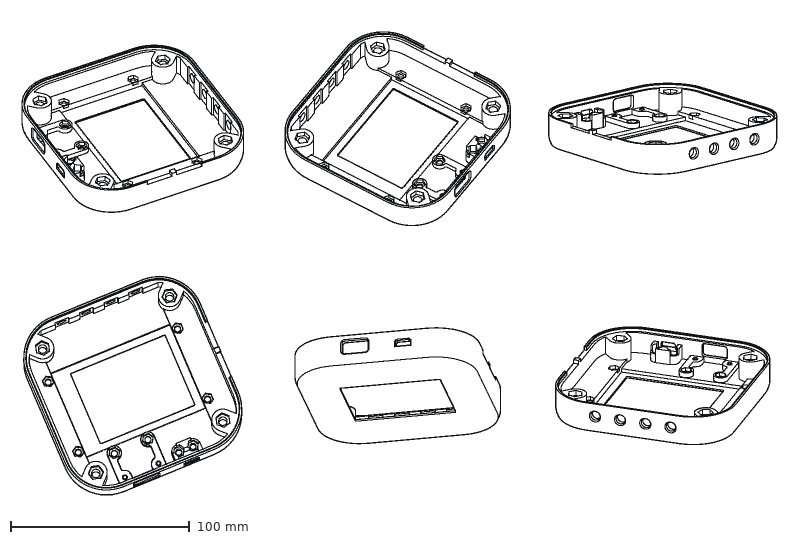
import cadquery as cq
import math

SIZE = 105.0
HEIGHT = 17.5
CORNER_R = 25.0
WALL = 3.0
BACK_WALL = 4.5
LIP_WALL = 1.5
LIP_HEIGHT = 2.1
LIP_CHAMFER = 0.37
LEDGE_Z = HEIGHT - LIP_HEIGHT
HALF = SIZE / 2
ACROSS = (-HALF, HALF)

TAPER_INSET = 1.3
TAPER_HEIGHT = 2.8
TAPER_BLEND_R = 4.7
RIDGE_MARGIN = 0.1

SIDE_FLOOR_Z = 5.0
MID_FLOOR_Z = 3.0
SCREEN_FLOOR_Z = 1.0
BAND_X = (-39.1, 33.3)
SCREEN_Y = (-26.0, 25.8)
WINDOW_X = 57.3
WINDOW_Y = 43.5
WINDOW_R = 0.6

BOSS_POS = 38.5
CORNERS = ((1, 1), (-1, 1), (-1, -1), (1, -1))
BOSS_R = 6.3
BOSS_NUT = 8.4
BOSS_NUT_DEPTH = 3.0
BOSS_BORE = 4.8
STRIP_Y = (-BOSS_POS, BOSS_POS)

NUT = 6.3
NUT_BORE = 3.5
NUT_DEPTH = 2.1
SCREEN_NUT_X = (-42.2, 36.3)
SCREEN_NUT_Y = 21.7
SCREEN_NUT_ANGLE = 30
BORE_FLOOR_Z = 1.0

JACK_X = -13.8
JACK_POST_PITCH = 20.4
JACK_POST_R = 4.0
JACK_POST_Y = -30.3
JACK_PIN_Y = -45.7
JACK_TOP_Z = 6.0
JACK_NOTCH_R = 1.0
PIN_BASE_D = 2.8
PIN_TIP_D = 2.0
PIN_HEIGHT = 0.5
JACK_OPENING_X = -13.6
JACK_OPENING_WIDTH = 14.9
JACK_OPENING_HEIGHT = 7.9
JACK_OPENING_R = 1.7
JACK_OPENING_Z = 10.4
JACK_OPENING_CHAMFER = 0.6

USB_X = 13.8
USB_NUT_PITCH = 8.6
USB_NUT_Y = -44.1
USB_POST_R = 4.0
USB_BLOCK_Z = 11.5
USB_BLOCK_BACK_Y = -39.9
USB_CHANNEL_WIDTH = 11.7
USB_CHANNEL_Z = 8.3
USB_RAMP_RUN = 1.6
USB_NUT_FLOOR_Z = 6.0
USB_OPENING_WIDTH = 8.6
USB_OPENING_HEIGHT = 3.5
USB_OPENING_BEVEL = 0.9
USB_OPENING_CHAMFER = 0.5

HOLE_COUNT = 4
HOLE_PITCH = 14.9
HOLE_ROW_X = -0.2
HOLE_Z = 9.9
HOLE_D = 5.4
HOLE_FLARE = 0.6
HOLE_FLARE_DEPTH = 1.0
HOLE_RECESS_WIDTH = 8.3
HOLE_RECESS_DEPTH = 1.0

GAP_X = (HALF - WALL, HALF)
GAP_Y = (-17.6, 16.7)
TAB_Y = (-2.2, 0.8)


def box(x, y, z):
    """Box spanning the given (low, high) ranges."""
    return cq.Workplane("XY").box(
        x[1] - x[0], y[1] - y[0], z[1] - z[0], centered=False
    ).translate((x[0], y[0], z[0]))


def cylinder(x, y, diameter, z_low, z_high):
    return cq.Workplane("XY", origin=(x, y, z_low)).circle(diameter / 2).extrude(z_high - z_low)


def hexagon(x, y, across_corners, z_low, z_high, angle=0):
    """Hexagonal prism with its first corner at the given angle from +X."""
    prism = cq.Workplane("XY").polygon(6, across_corners).extrude(z_high - z_low)
    return prism.rotate((0, 0, 0), (0, 0, 1), angle).translate((x, y, z_low))


def rounded_block(inset, z_low, z_high):
    """Rounded square following the outside, moved inwards by the inset."""
    side = SIZE - 2 * inset
    block = cq.Workplane("XY", origin=(0, 0, z_low)).rect(side, side).extrude(z_high - z_low)
    return block.edges("|Z").fillet(CORNER_R - inset)


def make_outside():
    """Solid block with the tapered foot."""
    outside = rounded_block(0, 0, HEIGHT)
    outside = outside.faces("<Z").chamfer(TAPER_HEIGHT, TAPER_INSET)
    ridge = cq.selectors.BoxSelector(
        (-SIZE, -SIZE, TAPER_HEIGHT - RIDGE_MARGIN), (SIZE, SIZE, TAPER_HEIGHT + RIDGE_MARGIN)
    )
    return outside.edges(ridge).fillet(TAPER_BLEND_R)


def make_cavity():
    """Room above the stepped floor, up to the ledge."""
    room = rounded_block(WALL, MID_FLOOR_Z, LEDGE_Z)
    room = room.cut(box(ACROSS, (HALF - BACK_WALL, HALF), (MID_FLOOR_Z, LEDGE_Z)))
    for strip_x in ((-HALF, BAND_X[0]), (BAND_X[1], HALF)):
        room = room.cut(box(strip_x, STRIP_Y, (MID_FLOOR_Z, SIDE_FLOOR_Z)))
    return room.union(box(BAND_X, SCREEN_Y, (SCREEN_FLOOR_Z, MID_FLOOR_Z)))


def make_lip_space():
    """Room inside the lip, widened at its mouth by the lip's inner chamfer."""
    straight = rounded_block(LIP_WALL, LEDGE_Z, HEIGHT)
    mouth = rounded_block(LIP_WALL - LIP_CHAMFER, HEIGHT - LIP_CHAMFER, HEIGHT + LIP_CHAMFER)
    mouth = mouth.faces("<Z").chamfer(LIP_CHAMFER)
    return straight.union(mouth)


def corner_bosses():
    """Round bosses that run out diagonally into the corners."""
    arm = cq.Workplane("XY").circle(BOSS_R).extrude(LEDGE_Z)
    arm = arm.union(box((0, CORNER_R), (-BOSS_R, BOSS_R), (0, LEDGE_Z)))
    corner = rounded_block(LIP_WALL, TAPER_HEIGHT, LEDGE_Z)
    bosses = None
    for x_side, y_side in CORNERS:
        angle = math.degrees(math.atan2(y_side, x_side))
        boss = arm.rotate((0, 0, 0), (0, 0, 1), angle)
        boss = boss.translate((x_side * BOSS_POS, y_side * BOSS_POS, 0))
        bosses = boss if bosses is None else bosses.union(boss)
    return bosses.intersect(corner)


def corner_boss_holes():
    """Nut pockets, each with one corner pointing outwards, over blind bores."""
    holes = cq.Workplane("XY")
    for x_side, y_side in CORNERS:
        x = x_side * BOSS_POS
        y = y_side * BOSS_POS
        angle = math.degrees(math.atan2(y_side, x_side))
        holes.add(hexagon(x, y, BOSS_NUT, LEDGE_Z - BOSS_NUT_DEPTH, LEDGE_Z, angle))
        holes.add(cylinder(x, y, BOSS_BORE, SIDE_FLOOR_Z, LEDGE_Z))
    return holes.combine()


def screen_nut_holes():
    """Nut pockets with corners along Y, over blind bores in the raised strips."""
    holes = cq.Workplane("XY")
    for x in SCREEN_NUT_X:
        for y in (-SCREEN_NUT_Y, SCREEN_NUT_Y):
            holes.add(hexagon(x, y, NUT, SIDE_FLOOR_Z - NUT_DEPTH, SIDE_FLOOR_Z, SCREEN_NUT_ANGLE))
            holes.add(cylinder(x, y, NUT_BORE, BORE_FLOOR_Z, SIDE_FLOOR_Z))
    return holes.combine()


def window():
    return cq.Workplane("XY").rect(WINDOW_X, WINDOW_Y).extrude(MID_FLOOR_Z).edges("|Z").fillet(WINDOW_R)


def jack_post(side):
    """One arm of the jack mount, on the -X (-1) or +X (+1) side of the jack."""
    x = JACK_X + side * JACK_POST_PITCH / 2
    wall_y = -HALF + WALL / 2
    outer_x = x + side * JACK_POST_R
    levels = (TAPER_HEIGHT, JACK_TOP_Z)
    post = cylinder(x, JACK_POST_Y, 2 * JACK_POST_R, *levels)
    post = post.union(cylinder(x, JACK_PIN_Y, 2 * JACK_POST_R, *levels))
    post = post.union(box(sorted((x, outer_x)), (wall_y, JACK_POST_Y), levels))
    post = post.union(box((x - JACK_POST_R, x + JACK_POST_R), (wall_y, JACK_PIN_Y), levels))
    for notch_end_y in (JACK_POST_Y - JACK_POST_R, JACK_PIN_Y + JACK_POST_R):
        corner = cq.selectors.NearestToPointSelector((x, notch_end_y, sum(levels) / 2))
        post = post.edges("|Z").edges(corner).fillet(JACK_NOTCH_R)
    pin = (
        cq.Workplane("XY", origin=(x, JACK_PIN_Y, JACK_TOP_Z))
        .circle(PIN_BASE_D / 2)
        .workplane(offset=PIN_HEIGHT)
        .circle(PIN_TIP_D / 2)
        .loft()
    )
    post = post.union(pin)
    post = post.cut(hexagon(x, JACK_POST_Y, NUT, JACK_TOP_Z - NUT_DEPTH, JACK_TOP_Z))
    return post.cut(cylinder(x, JACK_POST_Y, NUT_BORE, MID_FLOOR_Z, JACK_TOP_Z))


def usb_mount():
    """Two nut posts joined by a block, with walls on both sides of the plug channel."""
    wall_y = -HALF + WALL / 2
    half_pitch = USB_NUT_PITCH / 2
    half_channel = USB_CHANNEL_WIDTH / 2
    outer = half_pitch + USB_POST_R
    nut_xs = (USB_X - half_pitch, USB_X + half_pitch)
    mount = box(nut_xs, (USB_NUT_Y, USB_BLOCK_BACK_Y), (TAPER_HEIGHT, USB_BLOCK_Z))
    for x in nut_xs:
        mount = mount.union(cylinder(x, USB_NUT_Y, 2 * USB_POST_R, TAPER_HEIGHT, USB_CHANNEL_Z))
    mount = mount.union(
        box((USB_X - outer, USB_X + outer), (wall_y, USB_NUT_Y), (TAPER_HEIGHT, USB_BLOCK_Z))
    )
    ramp_foot_y = USB_NUT_Y - USB_RAMP_RUN
    channel = (
        cq.Workplane("YZ", origin=(USB_X - half_channel, 0, 0))
        .moveTo(USB_NUT_Y, USB_BLOCK_Z)
        .lineTo(ramp_foot_y, USB_CHANNEL_Z)
        .lineTo(wall_y, USB_CHANNEL_Z)
        .lineTo(wall_y, USB_BLOCK_Z)
        .close()
        .extrude(USB_CHANNEL_WIDTH)
    )
    mount = mount.cut(channel)
    for x in nut_xs:
        mount = mount.cut(hexagon(x, USB_NUT_Y, NUT, USB_NUT_FLOOR_Z, USB_BLOCK_Z))
        mount = mount.cut(cylinder(x, USB_NUT_Y, NUT_BORE, MID_FLOOR_Z, USB_BLOCK_Z))
    return mount


def flare_outwards(opening, size, corner_kind):
    """Widen an opening's cutter at the outer face of the -Y wall by a 45 degree chamfer."""
    mouth = opening.faces("<Y").wires().toPending().offset2D(size, corner_kind)
    return opening.union(mouth.extrude(-size, taper=45, combine=False))


def jack_opening():
    opening = (
        cq.Workplane("XZ", origin=(JACK_OPENING_X, -HALF + WALL, JACK_OPENING_Z))
        .rect(JACK_OPENING_WIDTH, JACK_OPENING_HEIGHT)
        .extrude(WALL)
        .edges("|Y")
        .fillet(JACK_OPENING_R)
    )
    return flare_outwards(opening, JACK_OPENING_CHAMFER, "arc")


def usb_opening():
    """Flat-bottomed opening with bevelled upper corners."""
    half_width = USB_OPENING_WIDTH / 2
    half_flat = half_width - USB_OPENING_BEVEL
    shoulder = USB_OPENING_HEIGHT - USB_OPENING_BEVEL
    opening = (
        cq.Workplane("XZ", origin=(USB_X, -HALF + WALL, USB_CHANNEL_Z))
        .moveTo(-half_width, 0)
        .lineTo(half_width, 0)
        .lineTo(half_width, shoulder)
        .lineTo(half_flat, USB_OPENING_HEIGHT)
        .lineTo(-half_flat, USB_OPENING_HEIGHT)
        .lineTo(-half_width, shoulder)
        .close()
        .extrude(WALL)
    )
    return flare_outwards(opening, USB_OPENING_CHAMFER, "intersection")


def round_holes():
    """Round holes in shallow recesses of the +Y wall, flared at the outside."""
    inner_face = HALF - BACK_WALL
    cutters = cq.Workplane("XY")
    for index in range(HOLE_COUNT):
        x = HOLE_ROW_X + (index - (HOLE_COUNT - 1) / 2) * HOLE_PITCH
        half_width = HOLE_RECESS_WIDTH / 2
        cutters.add(
            box(
                (x - half_width, x + half_width),
                (inner_face, inner_face + HOLE_RECESS_DEPTH),
                (MID_FLOOR_Z, LEDGE_Z),
            )
        )
        half_profile = (
            cq.Workplane("XY", origin=(x, 0, HOLE_Z))
            .moveTo(0, inner_face)
            .lineTo(HOLE_D / 2, inner_face)
            .lineTo(HOLE_D / 2, HALF - HOLE_FLARE_DEPTH)
            .lineTo(HOLE_D / 2 + HOLE_FLARE, HALF)
            .lineTo(0, HALF)
            .close()
        )
        cutters.add(half_profile.revolve(360, (0, 0, 0), (0, 1, 0)))
    return cutters.combine()


def lip_gap():
    return box(GAP_X, GAP_Y, (LEDGE_Z, HEIGHT))


def lip_tab():
    return box(GAP_X, TAB_Y, (LEDGE_Z, HEIGHT))


result = (
    make_outside()
    .cut(make_cavity())
    .cut(make_lip_space())
    .union(corner_bosses())
    .cut(corner_boss_holes())
    .cut(screen_nut_holes())
    .cut(window())
    .union(jack_post(-1))
    .union(jack_post(1))
    .union(usb_mount())
    .cut(jack_opening())
    .cut(usb_opening())
    .cut(round_holes())
    .cut(lip_gap())
    .union(lip_tab())
)